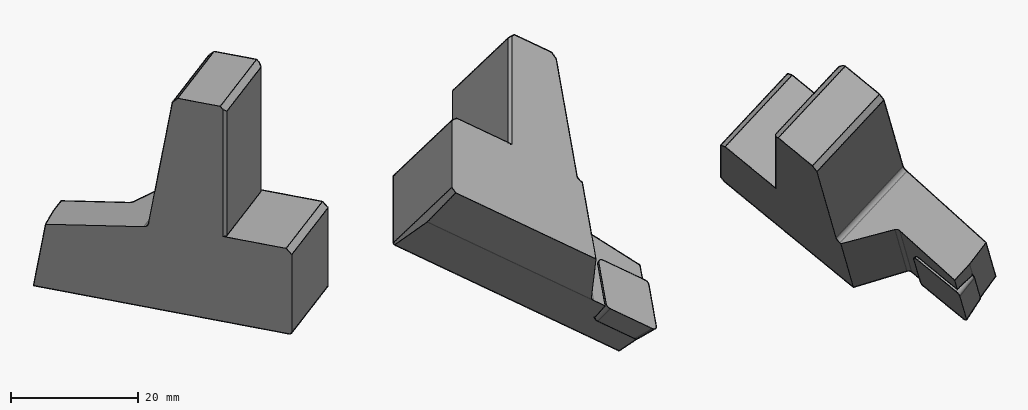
import cadquery as cq
import math

length = 44.7
thickness = 16.0
height = 40.0
lean_angle = 10.0
lean = math.tan(math.radians(lean_angle))
lean_cosine = math.cos(math.radians(lean_angle))
lean_sine = math.sin(math.radians(lean_angle))

shoulder_height = 16.58
stem_back_x = 33.6
stem_front_top_x = 24.75
corner_chamfer = 0.95
stem_edge_chamfer = 0.45
root_fillet = 1.0

end_base_x = 0.63
slope_start_height = 12.65
head_thickness = 8.0
front_bottom_height = 1.2
ridge_height = 0.55
back_bottom_height = 0.7
end_clearance = 0.4
relief_length = 11.35
relief_wall_angle = 30.0
relief_fillet = 0.75

insert_side = 9.7
insert_seat_y = 4.42
insert_top_y = 8.4
insert_nose_radius = 0.8
insert_clearance_angle = 7.0


def leaning_plane():
    """Plane across the end face direction; its local Y is the part's Y."""
    return cq.Plane(
        origin=(end_base_x, 0, 0),
        xDir=(lean_cosine, 0, -lean_sine),
        normal=(lean_sine, 0, lean_cosine),
    )


def leaning_prism(points):
    """Prism running along the lean, long enough to pass through the holder."""
    return cq.Workplane(leaning_plane()).polyline(points).close().extrude(height, both=True)


def holder_blank():
    slope_start_x = end_base_x + slope_start_height * lean
    stem_base_x = stem_front_top_x - height * lean
    root_height = (slope_start_height + lean * (stem_base_x - slope_start_x)) / (1 - lean**2)
    root_x = stem_base_x + root_height * lean
    chamfer_height = height - corner_chamfer
    chamfer_x = stem_base_x + chamfer_height * lean
    outline = [
        (end_base_x + ridge_height * lean, ridge_height),
        (slope_start_x, slope_start_height),
        (root_x, root_height),
        (chamfer_x, chamfer_height),
        (chamfer_x + corner_chamfer, height),
        (stem_back_x - corner_chamfer, height),
        (stem_back_x, chamfer_height),
        (stem_back_x, shoulder_height),
        (length - corner_chamfer, shoulder_height),
        (length, shoulder_height - corner_chamfer),
        (length, ridge_height + corner_chamfer),
        (length - corner_chamfer, ridge_height),
    ]
    blank = cq.Workplane("XZ").polyline(outline).close().extrude(-thickness)
    root_point = (root_x, thickness / 2, root_height)
    blank = blank.edges(cq.selectors.NearestToPointSelector(root_point)).fillet(root_fillet)
    for y in (0, thickness):
        edge_point = (stem_back_x, y, (shoulder_height + chamfer_height) / 2)
        blank = blank.edges(cq.selectors.NearestToPointSelector(edge_point)).chamfer(stem_edge_chamfer)
    return blank


def bottom_envelope():
    """Cross-section with a shallow ridge along the bottom, run over the full length."""
    section = [
        (0, front_bottom_height),
        (head_thickness, ridge_height),
        (thickness, back_bottom_height),
        (thickness, height),
        (0, height),
    ]
    return cq.Workplane("YZ").polyline(section).close().extrude(length)


def end_clearance_cut():
    return leaning_prism([(0, 0), (end_clearance, 0), (0, insert_seat_y)])


def head_relief():
    """Space behind the head, bounded by a slanted wall with a filleted foot."""
    wall_run = (thickness - head_thickness) * math.tan(math.radians(relief_wall_angle))
    relief = leaning_prism([
        (-relief_length, head_thickness),
        (relief_length, head_thickness),
        (relief_length + wall_run, thickness),
        (-relief_length, thickness),
    ])
    foot = leaning_plane().toWorldCoords((relief_length, head_thickness, 0))
    return relief.edges(cq.selectors.NearestToPointSelector(foot.toTuple())).fillet(relief_fillet)


def make_insert():
    """Rhombic plate with rounded corners, tapering from its top face to its seat."""
    rise = insert_side * lean_cosine
    shift = insert_side * lean_sine
    nose_centre_x = insert_nose_radius * (1 / lean_cosine + lean)
    corner_x = insert_nose_radius - nose_centre_x
    outline = [
        (corner_x, 0),
        (corner_x + insert_side, 0),
        (corner_x + insert_side + shift, rise),
        (corner_x + shift, rise),
    ]
    top_plane = cq.Workplane("XZ", origin=(0, insert_top_y, 0))
    sharp = top_plane.polyline(outline).close().extrude(
        insert_top_y - insert_seat_y, taper=insert_clearance_angle
    )
    return sharp.faces("not |Y").edges("not #Y").fillet(insert_nose_radius)


insert = make_insert()
holder = (
    holder_blank()
    .intersect(bottom_envelope())
    .cut(end_clearance_cut())
    .cut(head_relief())
    .cut(insert)
)

result = cq.Compound.makeCompound([holder.val(), insert.val()])